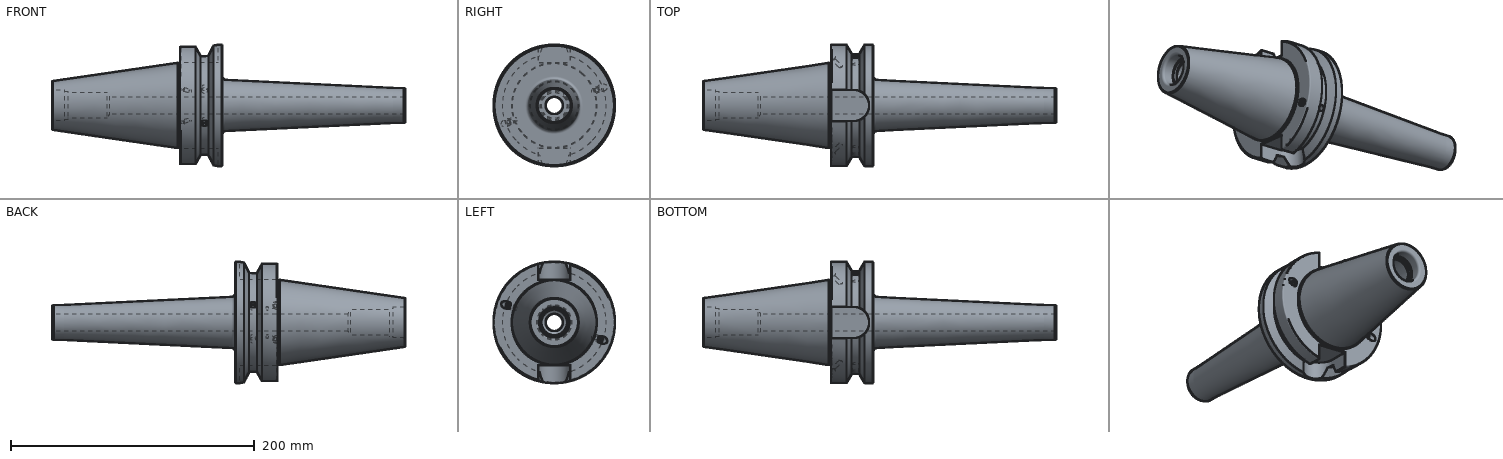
import cadquery as cq
import math

TAPER_LENGTH = 101.8
GAUGE_RADIUS = 69.85 / 2
TAPER_RATIO = 7 / 24
SMALL_END_CHAMFER = 0.6
TOTAL_LENGTH = 289.8

FLANGE_RADIUS = 50.0
FLANGE_START = TAPER_LENGTH + 3.0
FLANGE_END = TAPER_LENGTH + 38.0
FLANGE_FRONT_FILLET = 1.0
FLANGE_BACK_CHAMFER = 1.0

RELIEF_DEPTH = 0.5
RELIEF_START = TAPER_LENGTH + 1.1
RELIEF_END = TAPER_LENGTH + 2.2

GROOVE_CENTER = TAPER_LENGTH + 23.2
GROOVE_FLOOR_RADIUS = 42.5
GROOVE_FLOOR_HALF_WIDTH = 3.1
GROOVE_FLANK_ANGLE = 30.0

SLOT_WIDTH = 25.7
SLOT_FLOOR_HEIGHT = 35.4
SLOT_END = 136.2
SLOT_EDGE_CHAMFER = 0.4

NECK_FILLET = 2.5
NECK_RADIUS = 21.15
TIP_RADIUS = 14.5
TIP_LENGTH = 10.0
TIP_CHAMFER_LENGTH = 1.5
TIP_CHAMFER_HEIGHT = 0.8

COUNTERBORE_RADIUS = 12.5
COUNTERBORE_DEPTH = 10.0
MOUTH_FILLET = 2.0
STEP_RADIUS = 11.5
STEP_END = 13.0
THREAD_RADIUS = 10.5
THREAD_END = 45.0
DRILL_POINT_ANGLE = 59.0
THROUGH_RADIUS = 7.0

COOLANT_POSITIONS = (20.0, 200.0)
COOLANT_RADIUS = 3.0
COOLANT_CIRCLE_RADIUS = 42.0
COOLANT_TILT = 45.0
COOLANT_DEPTH = 2.6
FEED_RADIUS = 1.5
FEED_DEPTH = 12.0
PORT_RADIUS = 2.5
PORT_FLOOR_RADIUS = 36.0


def make_body():
    """Solid of revolution: taper, grooved flange and slim nose."""
    small_end_radius = GAUGE_RADIUS - TAPER_LENGTH * TAPER_RATIO / 2
    flank_run = (FLANGE_RADIUS - GROOVE_FLOOR_RADIUS) * math.tan(math.radians(GROOVE_FLANK_ANGLE))
    relief_radius = GAUGE_RADIUS - RELIEF_DEPTH
    fillet_dip = NECK_FILLET * (1 - math.sqrt(0.5))
    outline = (
        cq.Workplane("XZ")
        .moveTo(0, 0)
        .lineTo(0, small_end_radius - SMALL_END_CHAMFER)
        .lineTo(SMALL_END_CHAMFER, small_end_radius + SMALL_END_CHAMFER * TAPER_RATIO / 2)
        .lineTo(RELIEF_START, GAUGE_RADIUS + (RELIEF_START - TAPER_LENGTH) * TAPER_RATIO / 2)
        .lineTo(RELIEF_START, relief_radius)
        .lineTo(RELIEF_END, relief_radius)
        .lineTo(RELIEF_END, GAUGE_RADIUS)
        .lineTo(FLANGE_START, GAUGE_RADIUS)
        .lineTo(FLANGE_START, FLANGE_RADIUS - FLANGE_FRONT_FILLET)
        .radiusArc((FLANGE_START + FLANGE_FRONT_FILLET, FLANGE_RADIUS), FLANGE_FRONT_FILLET)
        .lineTo(GROOVE_CENTER - GROOVE_FLOOR_HALF_WIDTH - flank_run, FLANGE_RADIUS)
        .lineTo(GROOVE_CENTER - GROOVE_FLOOR_HALF_WIDTH, GROOVE_FLOOR_RADIUS)
        .lineTo(GROOVE_CENTER + GROOVE_FLOOR_HALF_WIDTH, GROOVE_FLOOR_RADIUS)
        .lineTo(GROOVE_CENTER + GROOVE_FLOOR_HALF_WIDTH + flank_run, FLANGE_RADIUS)
        .lineTo(FLANGE_END - FLANGE_BACK_CHAMFER, FLANGE_RADIUS)
        .lineTo(FLANGE_END, FLANGE_RADIUS - FLANGE_BACK_CHAMFER)
        .lineTo(FLANGE_END, NECK_RADIUS + NECK_FILLET)
        .threePointArc(
            (FLANGE_END + fillet_dip, NECK_RADIUS + fillet_dip),
            (FLANGE_END + NECK_FILLET, NECK_RADIUS),
        )
        .lineTo(TOTAL_LENGTH - TIP_LENGTH, TIP_RADIUS)
        .lineTo(TOTAL_LENGTH - TIP_CHAMFER_LENGTH, TIP_RADIUS)
        .lineTo(TOTAL_LENGTH, TIP_RADIUS - TIP_CHAMFER_HEIGHT)
        .lineTo(TOTAL_LENGTH, 0)
        .close()
    )
    return outline.revolve(360, (0, 0, 0), (1, 0, 0))


def make_bore():
    """Stepped bore for the pull stud, running out as a plain through hole."""
    point_length = (THREAD_RADIUS - THROUGH_RADIUS) / math.tan(math.radians(DRILL_POINT_ANGLE))
    outline = (
        cq.Workplane("XZ")
        .moveTo(0, 0)
        .lineTo(0, COUNTERBORE_RADIUS + MOUTH_FILLET)
        .radiusArc((MOUTH_FILLET, COUNTERBORE_RADIUS), -MOUTH_FILLET)
        .lineTo(COUNTERBORE_DEPTH, COUNTERBORE_RADIUS)
        .lineTo(COUNTERBORE_DEPTH, STEP_RADIUS)
        .lineTo(STEP_END, STEP_RADIUS)
        .lineTo(STEP_END, THREAD_RADIUS)
        .lineTo(THREAD_END, THREAD_RADIUS)
        .lineTo(THREAD_END + point_length, THROUGH_RADIUS)
        .lineTo(TOTAL_LENGTH, THROUGH_RADIUS)
        .lineTo(TOTAL_LENGTH, 0)
        .close()
    )
    return outline.revolve(360, (0, 0, 0), (1, 0, 0))


def make_drive_slot():
    """Round-ended slot at +Z, open towards the taper."""
    half_width = SLOT_WIDTH / 2
    arc_center = SLOT_END - half_width
    outline = (
        cq.Workplane("XY", origin=(0, 0, SLOT_FLOOR_HEIGHT))
        .moveTo(FLANGE_START, -half_width)
        .lineTo(arc_center, -half_width)
        .threePointArc((SLOT_END, 0), (arc_center, half_width))
        .lineTo(FLANGE_START, half_width)
        .close()
    )
    return outline.extrude(FLANGE_RADIUS)


def make_coolant_hole():
    """Slanted stepped hole in the flange face and radial port in the V groove, placed at +Y."""
    tilt = math.radians(COOLANT_TILT)
    axis = cq.Vector(math.cos(tilt), -math.sin(tilt), 0)
    entry = cq.Vector(FLANGE_START, COOLANT_CIRCLE_RADIUS, 0)
    overshoot = COOLANT_RADIUS * math.tan(tilt)
    slanted = cq.Solid.makeCylinder(
        COOLANT_RADIUS, COOLANT_DEPTH + overshoot, entry - axis * overshoot, axis
    )
    feed = cq.Solid.makeCylinder(FEED_RADIUS, FEED_DEPTH, entry, axis)
    port = cq.Solid.makeCylinder(
        PORT_RADIUS,
        FLANGE_RADIUS - PORT_FLOOR_RADIUS,
        cq.Vector(GROOVE_CENTER, PORT_FLOOR_RADIUS, 0),
        cq.Vector(0, 1, 0),
    )
    return cq.Workplane(slanted).union(cq.Workplane(feed)).union(cq.Workplane(port))


def break_slot_edges(body):
    """Chamfer the slot edges on the front flange face and on the rim in front of the V groove."""
    tolerance = 0.01
    half_width = SLOT_WIDTH / 2
    rim_height = math.sqrt(FLANGE_RADIUS ** 2 - half_width ** 2)

    def is_sharp(edge):
        center = edge.Center()
        on_wall = abs(abs(center.y) - half_width) < tolerance
        on_face = abs(center.x - FLANGE_START) < tolerance and edge.geomType() == "LINE"
        on_rim = abs(abs(center.z) - rim_height) < tolerance and center.x < GROOVE_CENTER
        return on_face or (on_wall and on_rim)

    sharp_edges = [edge for edge in body.edges().vals() if is_sharp(edge)]
    return body.newObject(sharp_edges).chamfer(SLOT_EDGE_CHAMFER)


result = make_body().cut(make_bore())
for slot_angle in (0, 180):
    result = result.cut(make_drive_slot().rotate((0, 0, 0), (1, 0, 0), slot_angle))
result = break_slot_edges(result)
for hole_angle in COOLANT_POSITIONS:
    result = result.cut(make_coolant_hole().rotate((0, 0, 0), (1, 0, 0), hole_angle))